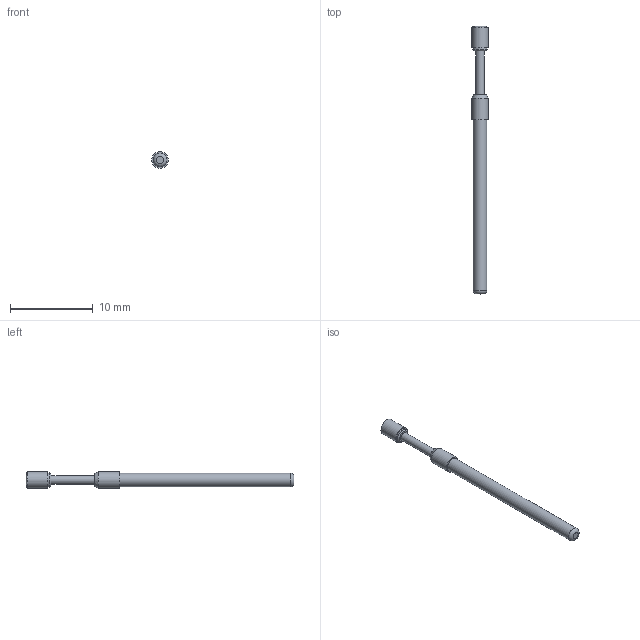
import cadquery as cq
import math


total_length = 32.3
barrel_length = 21.0
collar_length = 3.0
head_length = 3.0
head_neck_length = 0.35

collar_diameter = 2.0
barrel_diameter = 1.65
stem_diameter = 1.0
head_diameter = 2.0
head_neck_diameter = 1.75

dome_radius = 4.0
barrel_tip_radius = 0.4
collar_taper_length = 0.4
collar_taper_depth = 0.2
head_neck_chamfer = 0.15

barrel_tip_y = -total_length
collar_back_y = barrel_tip_y + barrel_length
collar_front_y = collar_back_y + collar_length

sleeve_back_y = head_neck_length - head_length
dome_height = dome_radius - math.sqrt(dome_radius**2 - (head_diameter / 2) ** 2)


def rod(start_y, length, diameter):
    """Solid cylinder on the Y axis, from start_y towards +Y."""
    start = cq.Vector(0, start_y, 0)
    axis = cq.Vector(0, 1, 0)
    return cq.Workplane(obj=cq.Solid.makeCylinder(diameter / 2, length, start, axis))


def make_barrel():
    """Long tube with a rounded closed end."""
    barrel = rod(barrel_tip_y, barrel_length, barrel_diameter)
    return barrel.faces("<Y").edges().fillet(barrel_tip_radius)


def make_collar():
    """Press ring with a slender taper on the stem side."""
    collar = rod(collar_back_y, collar_length, collar_diameter)
    front_face = collar.faces(">Y")
    return front_face.chamfer(collar_taper_length, collar_taper_depth)


def make_stem():
    """Plunger shaft between the collar and the head."""
    return rod(collar_front_y, -head_length - collar_front_y, stem_diameter)


def make_head():
    """Contact head with a slightly domed tip, stepped and chamfered towards the stem."""
    tip_profile = (
        cq.Workplane("XY")
        .moveTo(0, sleeve_back_y)
        .lineTo(head_diameter / 2, sleeve_back_y)
        .lineTo(head_diameter / 2, -dome_height)
        .radiusArc((0, 0), -dome_radius)
        .close()
    )
    sleeve = tip_profile.revolve(360, (0, 0, 0), (0, 1, 0))
    neck = rod(-head_length, head_neck_length, head_neck_diameter)
    neck = neck.faces("<Y").chamfer(head_neck_chamfer)
    return sleeve.union(neck)


result = make_barrel().union(make_collar()).union(make_stem()).union(make_head())